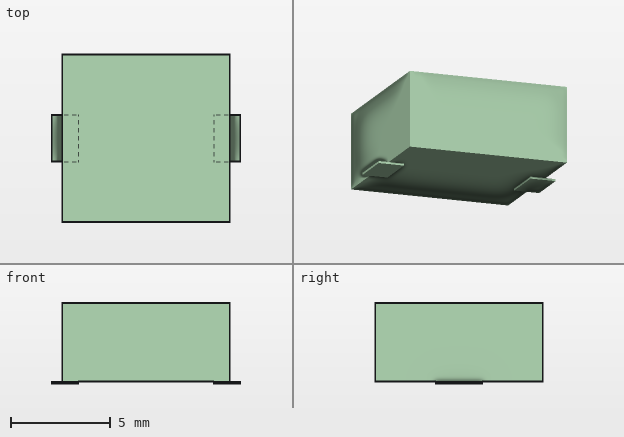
import cadquery as cq

overall_length = 9.46
overall_height = 4.05

housing_side = 8.4

terminal_length = 1.34
terminal_width = 2.35
terminal_thickness = 0.1

housing_height = overall_height - terminal_thickness
terminal_center_x = (overall_length - terminal_length) / 2


def make_housing():
    """Plain block resting on top of the terminals."""
    return (
        cq.Workplane("XY")
        .workplane(offset=terminal_thickness)
        .rect(housing_side, housing_side)
        .extrude(housing_height)
    )


def make_terminal(side):
    """Flat strip reaching out past the housing; side is -1 for -X, 1 for +X."""
    return (
        cq.Workplane("XY")
        .center(side * terminal_center_x, 0)
        .rect(terminal_length, terminal_width)
        .extrude(terminal_thickness)
    )


housing = make_housing()
terminals = [make_terminal(side) for side in (-1, 1)]

result = cq.Compound.makeCompound([housing.val(), *[terminal.val() for terminal in terminals]])